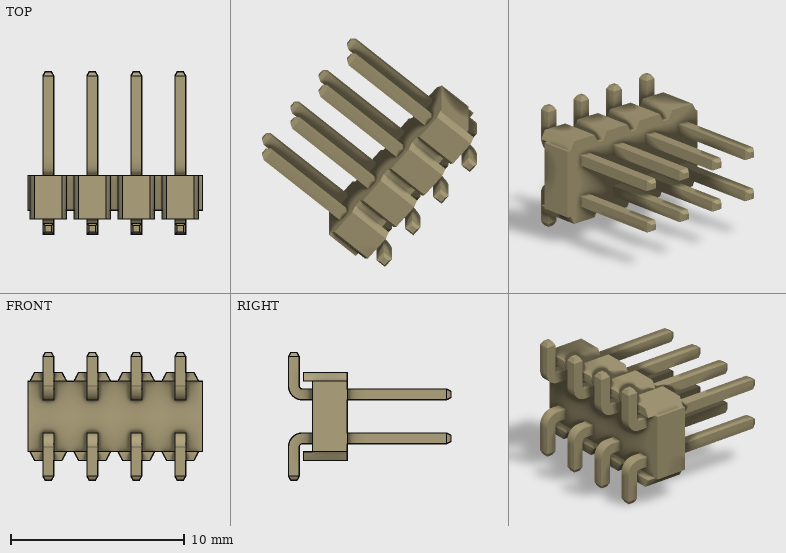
import cadquery as cq

PIN_COLUMNS = 4
ROW_LENGTH = 7.63
FIRST_COLUMN_X = -3.87

BODY_LENGTH = 10.1
BODY_DEPTH = 2.02
BODY_HEIGHT = 4.07

PAD_BASE_WIDTH = 2.13
PAD_CREST_WIDTH = 1.59
PAD_HEIGHT = 0.52
PAD_DEPTH = 2.54

PIN_SIZE = 0.64
PIN_BACK_Y = 6.0
PIN_FRONT_Y = -3.4
PIN_SPAN_Z = 7.4
BEND_INNER_RADIUS = 0.17
TIP_LENGTH = 0.25
TIP_INSET = 0.14

PITCH = ROW_LENGTH / (PIN_COLUMNS - 1)
BEND_RADIUS = BEND_INNER_RADIUS + PIN_SIZE / 2
LEG_Y = PIN_FRONT_Y + PIN_SIZE / 2
ROW_Z = PITCH / 2
LEG_TIP_Z = PIN_SPAN_Z / 2
COLUMNS_X = [FIRST_COLUMN_X + PITCH * column for column in range(PIN_COLUMNS)]


def make_tip(base, direction):
    """Tapered pin end that grows from the square section at base along direction."""
    crest_size = PIN_SIZE - 2 * TIP_INSET
    plane = cq.Plane(origin=base, xDir=(1, 0, 0), normal=direction)
    return (
        cq.Workplane(plane)
        .rect(PIN_SIZE, PIN_SIZE)
        .workplane(offset=TIP_LENGTH)
        .rect(crest_size, crest_size)
        .loft(ruled=True)
    )


def make_pin(x, side):
    """Bent pin in the upper row (side = 1) or the lower row (side = -1)."""
    row_z = side * ROW_Z
    shank_end_y = PIN_BACK_Y - TIP_LENGTH
    leg_end_z = side * (LEG_TIP_Z - TIP_LENGTH)
    centreline = (
        cq.Workplane(cq.Plane(origin=(x, 0, 0), xDir=(0, 1, 0), normal=(1, 0, 0)))
        .moveTo(shank_end_y, row_z)
        .lineTo(LEG_Y + BEND_RADIUS, row_z)
        .tangentArcPoint((LEG_Y, row_z + side * BEND_RADIUS), relative=False)
        .lineTo(LEG_Y, leg_end_z)
    )
    section_plane = cq.Plane(origin=(x, shank_end_y, row_z), xDir=(1, 0, 0), normal=(0, -1, 0))
    bent_bar = cq.Workplane(section_plane).rect(PIN_SIZE, PIN_SIZE).sweep(centreline)
    mating_tip = make_tip((x, shank_end_y, row_z), (0, 1, 0))
    leg_tip = make_tip((x, LEG_Y, leg_end_z), (0, 0, side))
    return bent_bar.union(mating_tip).union(leg_tip)


def make_pad(x, side):
    """Trapezoidal standoff on the top (side = 1) or bottom (side = -1) of the body."""
    base_z = side * BODY_HEIGHT / 2
    crest_z = base_z + side * PAD_HEIGHT
    return (
        cq.Workplane("XZ")
        .polyline([
            (x - PAD_BASE_WIDTH / 2, base_z),
            (x - PAD_CREST_WIDTH / 2, crest_z),
            (x + PAD_CREST_WIDTH / 2, crest_z),
            (x + PAD_BASE_WIDTH / 2, base_z),
        ])
        .close()
        .extrude(PAD_DEPTH)
    )


def make_pin_hole(x, side):
    """Square passage that one pin fills exactly."""
    return (
        cq.Workplane("XZ")
        .center(x, side * ROW_Z)
        .rect(PIN_SIZE, PIN_SIZE)
        .extrude(BODY_DEPTH)
    )


def make_housing():
    """Insulator block with its standoff pads and pin holes."""
    housing = cq.Workplane("XZ").rect(BODY_LENGTH, BODY_HEIGHT).extrude(BODY_DEPTH)
    for x in COLUMNS_X:
        for side in (1, -1):
            housing = housing.union(make_pad(x, side))
            housing = housing.cut(make_pin_hole(x, side))
    return housing


housing = make_housing()
pins = [make_pin(x, side) for x in COLUMNS_X for side in (1, -1)]

result = cq.Compound.makeCompound([housing.val(), *[pin.val() for pin in pins]])